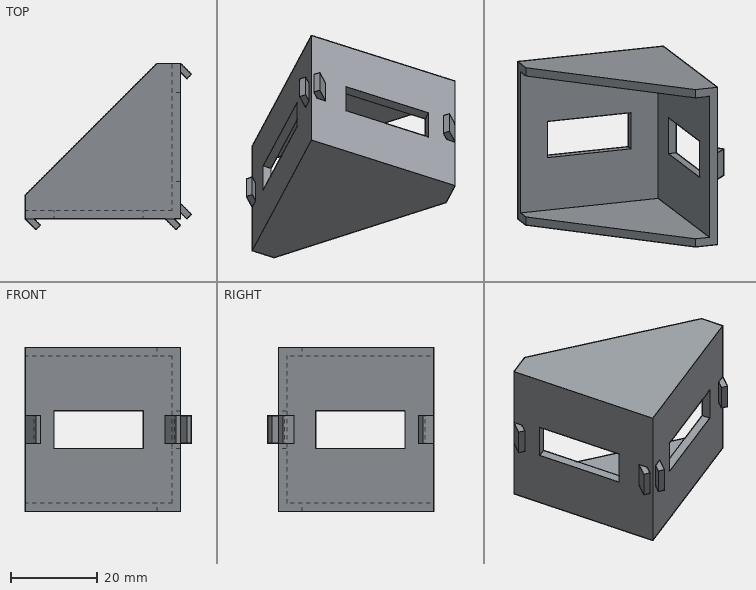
import cadquery as cq
import math


overall_width = 38.5
height = 38.0
wall = 2.0
end_width = 5.5

window_length = 20.6
window_height = 8.7

hook_reach = 2.5
hook_thickness = 1.5
hook_height = 6.4

side = overall_width - hook_reach
mid_height = height / 2
inner_side = side - wall
hook_tip = hook_thickness / math.sqrt(2)
hook_root = hook_thickness * math.sqrt(2)
corner_hook_start = side - hook_reach - hook_tip


def on_side_wall(feature):
    """Copy a front wall feature to the side wall, turned over about the corner's diagonal."""
    return feature.mirror("YZ").rotate((0, 0, 0), (0, 0, 1), 90).translate((side, side, 0))


def make_shell():
    """Prism with its diagonal side cut open, leaving walls and plates."""
    outline = [
        (0, 0),
        (side, 0),
        (side, side),
        (side - end_width, side),
        (0, end_width),
    ]
    body = cq.Workplane("XY").polyline(outline).close().extrude(height)
    cavity = cq.Workplane("XY").box(inner_side, inner_side, height - 2 * wall, centered=False)
    return body.cut(cavity.translate((0, wall, wall)))


def make_window():
    """Cutter for the window, centred on the inner length of the front wall."""
    cutter = cq.Workplane("XY").box(window_length, wall, window_height)
    return cutter.translate((inner_side / 2, wall / 2, mid_height))


def make_hook(start):
    """Hook on the front wall, slanting at 45 degrees away from x = start."""
    profile = [
        (start, 0),
        (start + hook_reach, -hook_reach),
        (start + hook_reach + hook_tip, -hook_reach + hook_tip),
        (start + hook_root, 0),
    ]
    hook = cq.Workplane("XY").polyline(profile).close().extrude(hook_height)
    return hook.translate((0, 0, mid_height - hook_height / 2))


result = make_shell()

window = make_window()
result = result.cut(window).cut(on_side_wall(window))

for hook_start in (0, corner_hook_start):
    hook = make_hook(hook_start)
    result = result.union(hook).union(on_side_wall(hook))